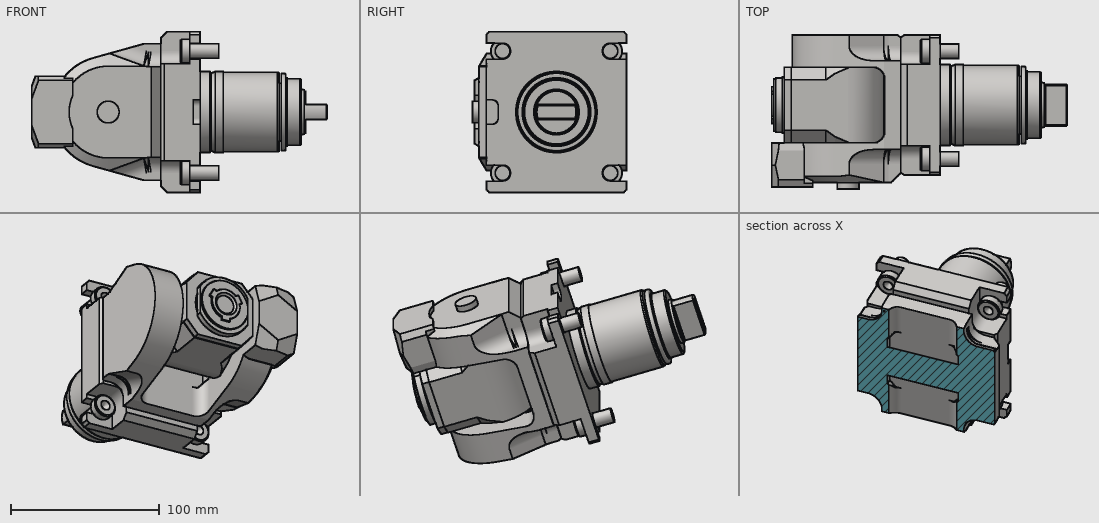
import cadquery as cq
import math


flange_front_x = -26.5
flange_height = 108.0
flange_half_width = 47.0
plate_thickness = 7.2
plate_chamfer = 2.0
front_chamfer = 4.2
side_chamfer_length = 2.4
side_chamfer_depth = 1.5
pocket_wall_y = 27.5
pocket_floor_z = 32.5
pocket_radius = 8.3

key_slot_width = 16.3
key_slot_length = 4.5
key_slot_depth = 8.0
key_slot_radius = 4.0

screw_y = 36.2
screw_z = pocket_floor_z + pocket_radius
screw_radius = 5.0
screw_slot_radius = 5.4
screw_end_x = 12.5
screw_head_radius = 8.0
screw_head_length = 6.2
screw_head_chamfer = 0.8
screw_pit_radius = 3.4

pivot_x = -61.8
housing_outer_radius = 37.8
housing_half_height = 45.9
shoulder_x = -37.8
housing_front_y = -52.0
face_radius = 30.8
face_chamfer_angle = 59
corner_chamfer = 6.5
fork_gap = 50.9
fork_corner_radius = 8.0
fork_end_x = -37.4

groove_wall_y = 29.8
groove_floor_z = 30.5
groove_radius = 9.7
groove_bend_start_x = -34.8
groove_bend_end_x = -38.0
groove_rise_angle = 20

head_front_x = -104.7
head_half_height = 24.0
head_chamfer_y = 8.5
head_chamfer_z = 9.5
head_chamfer_end_x = -76.7
head_chamfer_bend_x = -70.7
head_rear_chamfer_share = 0.5
head_chamfer_fade_share = 0.05
head_cover_length = 4.8
head_cover_step = 0.5
head_cover_chamfer_share = 1.05

nose_neck_radius = 18.9
nose_neck_length = 1.2
nose_collar_radius = 20.9
nose_collar_flats = 36.5
nose_collar_length = 4.4
nose_disc_radius = 17.7
nose_disc_length = 1.5
nut_radius = 10.7
nut_length = 1.4
nut_lobe_radius = 12.5
nut_lobe_width = 6.2
nut_lobe_count = 3
nut_bore_radius = 8.1
nut_bore_floor_radius = 6.5

lock_front_x = -113.3
lock_rear_x = -85.5
lock_outer_y = -55.0
lock_outer_chamfer_y = 4.8
lock_outer_chamfer_z = 2.8
lock_inner_chamfer_y = 5.2
lock_inner_chamfer_z = 1.5
lock_relief_radius = 26.2
lock_step_x = -91.2
lock_step_depth = 1.2
lock_facet_peak_z = 17.0
lock_facet_edge_angle = 30
lock_facet_slope = 23

pin_radius = 7.4
pin_end_y = -56.5

tang_half_thickness = 5.2
tang_radius = 14.1
tang_start_x = 71.0
tang_end_x = 85.5
tang_chamfer = 1.0
ring_start_x = 54.2
ring_width = 3.2
ring_radius = 26.0
ring_edge_radius = 1.0
shank_radius = 26.8
shank_end_x = 53.0
shank_chamfer_length = 1.2
shank_chamfer_depth = 0.5
seat_radius = 54.6 / 2
seat_end_x = 15.5
seat_groove_depth = 1.2
seat_groove_start_x = 6.5
seat_groove_floor_start_x = 6.8
seat_groove_floor_end_x = 7.4
seat_groove_end_x = 10.1
neck_radius = 19.5
hub_radius = 22.5
hub_end_x = 68.0
hub_chamfer = 1.0
hub_shoulder_radius = 23.0
hub_shoulder_end_x = 58.5
end_cap_radius = 15.3
end_cap_rim_radius = 15.0
end_cap_end_x = 70.0

FAR = 198.7


def copy_to_corners(solid):
    """Repeat a solid in all four quadrants of the YZ plane."""
    pair = solid.union(solid.mirror("XZ"))
    return pair.union(pair.mirror("XY"))


def disc(start_x, length, radius):
    """Cylinder on the shank axis running towards +X."""
    return cq.Workplane("YZ", origin=(start_x, 0, 0)).circle(radius).extrude(length)


def corner_bar(x, floor_z, wall_y, radius, length, rise_angle=0):
    """Cutter for the -Y +Z corner, running towards -X with a rounded inner edge."""
    rise = math.radians(rise_angle)
    plane = cq.Plane(
        origin=(x, 0, floor_z), xDir=(0, -1, 0), normal=(-math.cos(rise), 0, math.sin(rise))
    )
    return (
        cq.Workplane(plane)
        .moveTo(wall_y + radius, 0)
        .lineTo(FAR, 0)
        .lineTo(FAR, FAR)
        .lineTo(wall_y, FAR)
        .lineTo(wall_y, radius)
        .tangentArcPoint((radius, -radius), relative=True)
        .close()
        .extrude(length)
    )


def make_flange():
    half_height = flange_height / 2
    side_outline = [
        (0, -half_height),
        (0, half_height),
        (flange_front_x + front_chamfer, half_height),
        (flange_front_x, half_height - front_chamfer),
        (flange_front_x, front_chamfer - half_height),
        (flange_front_x + front_chamfer, -half_height),
    ]
    flange = (
        cq.Workplane("XZ").polyline(side_outline).close().extrude(flange_half_width, both=True)
    )
    flange = flange.edges("|X").chamfer(plate_chamfer)

    side_front_y = flange_half_width - side_chamfer_depth
    side_front_x = flange_front_x + side_chamfer_length
    top_outline = [
        (0, -flange_half_width),
        (0, flange_half_width),
        (side_front_x, flange_half_width),
        (flange_front_x, side_front_y),
        (flange_front_x, -side_front_y),
        (side_front_x, -flange_half_width),
    ]
    flange = flange.intersect(
        cq.Workplane("XY").polyline(top_outline).close().extrude(half_height, both=True)
    )

    pocket = corner_bar(-plate_thickness, pocket_floor_z, pocket_wall_y, pocket_radius, FAR)
    flange = flange.cut(copy_to_corners(pocket))

    slot_end = cq.Workplane("YZ").center(-screw_y, screw_z).circle(screw_slot_radius)
    slot_mouth = (
        cq.Workplane("YZ")
        .center(-screw_y - flange_half_width / 2, screw_z)
        .rect(flange_half_width, 2 * screw_slot_radius)
    )
    slot = slot_end.extrude(-plate_thickness).union(slot_mouth.extrude(-plate_thickness))
    flange = flange.cut(copy_to_corners(slot))

    key_slot = (
        cq.Workplane("YZ")
        .center(-flange_half_width, 0)
        .rect(2 * key_slot_depth, key_slot_width)
        .extrude(-key_slot_length)
        .edges("|X")
        .fillet(key_slot_radius)
    )
    return flange.cut(key_slot)


def make_screw():
    head_rear_x = -plate_thickness
    head_front = head_rear_x - screw_head_length
    head = disc(head_front, screw_head_length, screw_head_radius)
    head = head.faces("<X").edges().chamfer(screw_head_chamfer)
    pit = cq.Workplane(
        cq.Solid.makeCone(
            screw_pit_radius, 0, screw_pit_radius, cq.Vector(head_front, 0, 0), cq.Vector(1, 0, 0)
        )
    )
    stem = disc(head_rear_x, screw_end_x - head_rear_x, screw_radius)
    return head.cut(pit).union(stem).translate((0, -screw_y, screw_z))


def make_housing():
    shoulder_run = shoulder_x - pivot_x
    tangent_angle = math.atan2(housing_half_height, shoulder_run) + math.acos(
        housing_outer_radius / math.hypot(shoulder_run, housing_half_height)
    )
    tangent_x = pivot_x + housing_outer_radius * math.cos(tangent_angle)
    tangent_z = housing_outer_radius * math.sin(tangent_angle)
    length = flange_half_width - housing_front_y
    housing = (
        cq.Workplane("XZ", origin=(0, flange_half_width, 0))
        .moveTo(flange_front_x, -housing_half_height)
        .lineTo(flange_front_x, housing_half_height)
        .lineTo(shoulder_x, housing_half_height)
        .lineTo(tangent_x, tangent_z)
        .threePointArc((pivot_x - housing_outer_radius, 0), (tangent_x, -tangent_z))
        .lineTo(shoulder_x, -housing_half_height)
        .close()
        .extrude(length)
    )

    flare = (
        cq.Workplane(cq.Plane((0, housing_front_y, 0), (-1, 0, 0), (0, 1, 0)))
        .moveTo(-flange_front_x, -face_radius)
        .lineTo(-pivot_x, -face_radius)
        .threePointArc((face_radius - pivot_x, 0), (-pivot_x, face_radius))
        .lineTo(-flange_front_x, face_radius)
        .close()
        .extrude(length, taper=-face_chamfer_angle)
    )
    housing = housing.intersect(flare)

    front_corner = (
        cq.Workplane("XY", origin=(flange_front_x, housing_front_y, 0))
        .polyline([(0, 0), (-corner_chamfer, 0), (0, corner_chamfer)])
        .close()
        .extrude(FAR, both=True)
    )
    back_corner = (
        cq.Workplane("XY", origin=(flange_front_x, flange_half_width, 0))
        .polyline([(0, 0), (-side_chamfer_length, 0), (0, -side_chamfer_depth)])
        .close()
        .extrude(FAR, both=True)
    )
    housing = housing.cut(front_corner).cut(back_corner)

    bend_angle = groove_rise_angle / 2
    bend_length = groove_bend_start_x - groove_bend_end_x
    bend_rise = bend_length * math.tan(math.radians(bend_angle))
    groove_pieces = [
        (flange_front_x, groove_floor_z, flange_front_x - groove_bend_start_x, 0),
        (groove_bend_start_x, groove_floor_z, bend_length, bend_angle),
        (groove_bend_end_x, groove_floor_z + bend_rise, FAR, groove_rise_angle),
    ]
    for x, floor_z, piece_length, angle in groove_pieces:
        piece = corner_bar(x, floor_z, groove_wall_y, groove_radius, piece_length, angle)
        housing = housing.cut(copy_to_corners(piece))

    gap = (
        cq.Workplane("XY")
        .rect(FAR, fork_gap)
        .extrude(FAR, both=True)
        .edges("|Z")
        .fillet(fork_corner_radius)
        .translate((fork_end_x - FAR / 2, 0, 0))
    )
    housing = housing.cut(gap)

    half_gap = fork_gap / 2
    corner_y = half_gap - head_rear_chamfer_share * head_chamfer_y
    corner_z = head_half_height - head_rear_chamfer_share * head_chamfer_z
    octagon = [
        (half_gap, corner_z),
        (corner_y, head_half_height),
        (-corner_y, head_half_height),
        (-half_gap, corner_z),
    ]
    octagon += [(-y, -z) for y, z in octagon]
    clearance = (
        cq.Workplane("YZ", origin=(fork_end_x, 0, 0))
        .polyline(octagon)
        .close()
        .extrude(-fork_corner_radius)
    )
    return housing.cut(clearance)


def make_head():
    half_width = fork_gap / 2
    head = (
        cq.Workplane("XZ")
        .moveTo(pivot_x, head_half_height)
        .lineTo(head_front_x, head_half_height)
        .lineTo(head_front_x, -head_half_height)
        .lineTo(pivot_x, -head_half_height)
        .threePointArc((pivot_x + head_half_height, 0), (pivot_x, head_half_height))
        .close()
        .extrude(half_width, both=True)
    )

    for side in (1, -1):
        step = (
            cq.Workplane("XY", origin=(head_front_x, 0, side * head_half_height))
            .rect(2 * head_cover_length, fork_gap)
            .extrude(-side * head_cover_step)
        )
        head = head.cut(step)

    cover_end_x = head_front_x + head_cover_length
    cover_share = head_cover_chamfer_share
    chamfer_stages = [
        (head_front_x, cover_share, cover_end_x, cover_share),
        (cover_end_x, 1.0, head_chamfer_end_x, 1.0),
        (head_chamfer_end_x, 1.0, head_chamfer_bend_x, head_rear_chamfer_share),
        (head_chamfer_bend_x, head_rear_chamfer_share, pivot_x, head_chamfer_fade_share),
    ]
    for start_x, start_share, end_x, end_share in chamfer_stages:
        cutter = cq.Workplane("YZ", origin=(start_x, -half_width, head_half_height))
        for offset, share in ((0, start_share), (end_x - start_x, end_share)):
            corner = [(0, 0), (share * head_chamfer_y, 0), (0, -share * head_chamfer_z)]
            cutter = cutter.workplane(offset=offset).polyline(corner).close()
        head = head.cut(copy_to_corners(cutter.loft(ruled=True)))
    return head


def make_nose():
    neck_x = head_front_x - nose_neck_length
    collar_x = neck_x - nose_collar_length
    disc_x = collar_x - nose_disc_length
    nut_x = disc_x - nut_length

    neck = disc(neck_x, nose_neck_length, nose_neck_radius)
    collar = disc(collar_x, nose_collar_length, nose_collar_radius).intersect(
        cq.Workplane("XY").box(2 * FAR, nose_collar_flats, FAR)
    )
    front_disc = disc(disc_x, nose_disc_length, nose_disc_radius)

    nut = disc(nut_x, nut_length, nut_radius)
    for index in range(nut_lobe_count):
        lobe = (
            cq.Workplane("YZ", origin=(nut_x, 0, 0))
            .center(0, -nut_lobe_radius / 2)
            .rect(nut_lobe_width, nut_lobe_radius)
            .extrude(nut_length)
            .rotate((0, 0, 0), (1, 0, 0), index * 360 / nut_lobe_count)
        )
        nut = nut.union(lobe)
    bore = (
        cq.Workplane("YZ", origin=(nut_x, 0, 0))
        .circle(nut_bore_radius)
        .workplane(offset=nut_length)
        .circle(nut_bore_floor_radius)
        .loft()
    )
    return neck.union(collar).union(front_disc).union(nut.cut(bore))


def make_lock_block():
    inner_y = -fork_gap / 2
    length = lock_rear_x - lock_front_x
    top_edge = [
        (inner_y, head_half_height - lock_inner_chamfer_z),
        (inner_y - lock_inner_chamfer_y, head_half_height),
        (lock_outer_y + lock_outer_chamfer_y, head_half_height),
        (lock_outer_y, head_half_height - lock_outer_chamfer_z),
    ]
    bottom_edge = [(y, -z) for y, z in reversed(top_edge)]
    block = (
        cq.Workplane("YZ", origin=(lock_front_x, 0, 0))
        .polyline(top_edge + bottom_edge)
        .close()
        .extrude(length)
    )

    edge_angle = math.radians(lock_facet_edge_angle)
    spread = length / math.tan(math.radians(lock_facet_slope)) / math.cos(edge_angle)
    facets = cq.Workplane("YZ", origin=(lock_front_x, (inner_y + lock_outer_y) / 2, 0))
    for offset, peak_z in ((0, lock_facet_peak_z), (length, lock_facet_peak_z + spread)):
        peak_y = peak_z / math.tan(edge_angle)
        diamond = [(peak_y, 0), (0, peak_z), (-peak_y, 0), (0, -peak_z)]
        facets = facets.workplane(offset=offset).polyline(diamond).close()
    block = block.intersect(facets.loft(ruled=True))

    relief = (
        cq.Workplane("XZ", origin=(pivot_x, housing_front_y, 0))
        .circle(lock_relief_radius)
        .extrude(FAR)
    )
    block = block.cut(relief)

    for side in (1, -1):
        step = (
            cq.Workplane("XY", origin=(lock_rear_x, 0, side * head_half_height))
            .rect(2 * (lock_rear_x - lock_step_x), FAR)
            .extrude(-side * lock_step_depth)
        )
        block = block.cut(step)
    return block


def make_pin():
    return (
        cq.Workplane("XZ", origin=(pivot_x, housing_front_y, 0))
        .circle(pin_radius)
        .extrude(housing_front_y - pin_end_y)
    )


def make_shank():
    seat_groove_radius = seat_radius - seat_groove_depth
    shoulder_start_x = ring_start_x + ring_width / 2
    profile = [
        (0, 0),
        (0, seat_radius),
        (seat_groove_start_x, seat_radius),
        (seat_groove_floor_start_x, seat_groove_radius),
        (seat_groove_floor_end_x, seat_groove_radius),
        (seat_groove_end_x, seat_radius),
        (seat_end_x, seat_radius),
        (seat_end_x, shank_radius),
        (shank_end_x - shank_chamfer_length, shank_radius),
        (shank_end_x, shank_radius - shank_chamfer_depth),
        (shank_end_x, neck_radius),
        (shoulder_start_x, neck_radius),
        (shoulder_start_x, hub_shoulder_radius),
        (hub_shoulder_end_x, hub_shoulder_radius),
        (hub_shoulder_end_x, hub_radius),
        (hub_end_x - hub_chamfer, hub_radius),
        (hub_end_x, hub_radius - hub_chamfer),
        (hub_end_x, end_cap_radius),
        (end_cap_end_x, end_cap_rim_radius),
        (end_cap_end_x, tang_radius),
        (tang_start_x, tang_radius),
        (tang_start_x, 0),
    ]
    body = cq.Workplane("XY").polyline(profile).close().revolve(360, (0, 0, 0), (1, 0, 0))
    ring = disc(ring_start_x, ring_width, ring_radius).edges().fillet(ring_edge_radius)
    tang = disc(tang_start_x, tang_end_x - tang_start_x, tang_radius).intersect(
        cq.Workplane("XY").box(FAR, FAR, 2 * tang_half_thickness)
    )
    tang = tang.faces(">X").edges().chamfer(tang_chamfer)
    return body.union(ring).union(tang)


result = (
    make_flange()
    .union(make_housing())
    .union(copy_to_corners(make_screw()))
    .union(make_head())
    .union(make_nose())
    .union(make_lock_block())
    .union(make_pin())
    .union(make_shank())
)